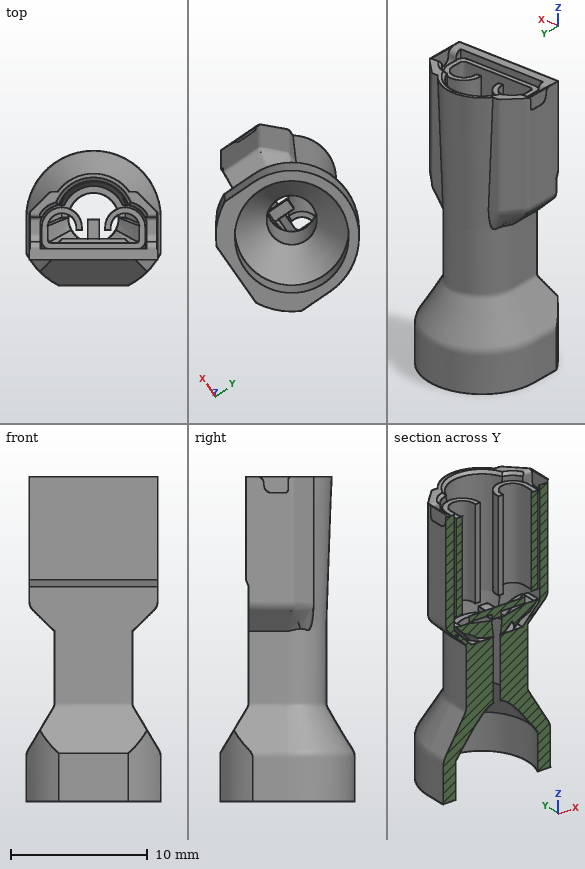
import cadquery as cq
import math


EPS = 0.02
REACH = 20.0

total_height = 23.75
base_radius = 9.86 / 2
base_corner_radius = 5.55
neck_radius = 2.85
base_top_z = 3.53
taper_top_z = 7.02
base_blend_radius = 1.1
neck_blend_radius = 0.75

head_half_width = 4.7
head_bottom_z = 12.45
head_flare_top_z = 14.25
head_flare_blend = 0.9
head_top_radius = 3.25
head_shoulder_y = 1.92
head_shoulder_half_width = 3.16
head_side_top_y = 0.38
head_corner_radius = 0.4
neck_shoulder = (2.4, 1.5)
neck_shoulder_inner = (1.9, 1.9)
plate_front_y = -3.05
plate_step_low_z = 15.71
plate_step_high_z = 16.22

barrel_outer_radius = 4.67 / 2
barrel_inner_radius = 3.66 / 2
barrel_top_z = 12.35
sheet = 0.43
roll_radius = 1.47
roll_x = 2.31
roll_y = -0.67
roll_end_y = -0.86
terminal_top_z = total_height - 0.6
roll_bottom_z = 15.0
floor_outer_y = -2.24
floor_inner_y = floor_outer_y + sheet
floor_corner_radius = 0.55
terminal_half_width = roll_x + roll_radius
funnel_top_z = 14.2
funnel_edge_top_y = -0.57
funnel_edge_low_y = 0.04
ramp_top_y = -1.5
ramp_half_width = 2.25
ramp_base_half_width = 2.6
ramp_length = 0.6
stop_width = 0.86
stop_top_y = -0.1

base_bore_radius = 8.33 / 2
base_bore_depth = 3.2
bore_taper_top_z = 6.9
cavity_half_width = 3.9
cavity_bottom_z = barrel_top_z
cavity_flare_top_z = 14.0
back_cavity_top_radius = 2.72
back_cavity_low_radius = 2.57
roll_cavity_radius = 1.62
mouth_chamfer = 0.25
side_lip = 0.06
notch_depth = 1.2
notch_back_y = 0.05
notch_back_round = 0.26
notch_front_hollow = 0.59
notch_front_round = 0.52


def box(x0, x1, y0, y1, z0, z1):
    return cq.Workplane("XY").box(x1 - x0, y1 - y0, z1 - z0, centered=False).translate((x0, y0, z0))


def along_x(yz_points, half_width):
    """Prism with a YZ outline, centred on X."""
    return cq.Workplane("YZ").polyline(yz_points).close().extrude(half_width, both=True)


def cone(bottom_radius, top_radius, z0, z1):
    """Cone or cylinder about the Z axis."""
    outline = [(0, z0), (bottom_radius, z0), (top_radius, z1), (0, z1)]
    return cq.Workplane("XZ").polyline(outline).close().revolve(360, (0, 0, 0), (0, 1, 0))


def blend_points(corner, before, after, radius):
    """Start, middle and end of an arc of the given radius that rounds a corner."""
    ux, uz = [(b - c) / math.dist(before, corner) for b, c in zip(before, corner)]
    vx, vz = [(a - c) / math.dist(after, corner) for a, c in zip(after, corner)]
    half_angle = math.acos(ux * vx + uz * vz) / 2
    setback = radius / math.tan(half_angle)
    middle = radius / math.sin(half_angle) - radius
    bx, bz = ux + vx, uz + vz
    length = math.hypot(bx, bz)
    return (
        (corner[0] + ux * setback, corner[1] + uz * setback),
        (corner[0] + bx / length * middle, corner[1] + bz / length * middle),
        (corner[0] + vx * setback, corner[1] + vz * setback),
    )


def flank_face(plane, sharp_base):
    """Half outline of base, taper and neck, from the Z axis out to the flank."""
    bottom = (base_radius, 0)
    base_corner = (base_radius, base_top_z)
    neck_corner = (neck_radius, taper_top_z)
    top = (neck_radius, head_bottom_z)
    neck_arc = blend_points(neck_corner, base_corner, top, neck_blend_radius)
    face = cq.Workplane(plane).moveTo(0, 0).lineTo(*bottom)
    if sharp_base:
        face = face.lineTo(*base_corner)
    else:
        base_arc = blend_points(base_corner, bottom, neck_corner, base_blend_radius)
        face = face.lineTo(*base_arc[0]).threePointArc(*base_arc[1:])
    face = face.lineTo(*neck_arc[0]).threePointArc(*neck_arc[1:])
    return face.lineTo(*top).lineTo(0, head_bottom_z).close()


def make_base_and_neck():
    """Rounded back, flat sides and flat front, with the base corners rounded off."""
    back = flank_face("XZ", False).revolve(360, (0, 0, 0), (0, 1, 0))
    back = back.intersect(box(-REACH, REACH, -EPS, REACH, 0, total_height))
    right_side = flank_face("XZ", False).extrude(REACH)
    sides = right_side.union(right_side.mirror("YZ"))
    front = flank_face("YZ", True).extrude(REACH, both=True).mirror("XZ")
    trim = cq.Workplane("XY").circle(base_corner_radius).extrude(head_bottom_z)
    return back.union(sides.intersect(front).intersect(trim))


def head_outline(z, half_width, side_top_y, shoulder, shoulder_inner):
    """Closed head outline at height z with its four rear corners rounded."""
    right = [
        (half_width, -neck_radius),
        (half_width, side_top_y),
        shoulder,
        shoulder_inner,
    ]
    left = [(-x, y) for x, y in reversed(right)]
    wire = cq.Wire.makePolygon([cq.Vector(x, y, z) for x, y in right + left], close=True)
    rear = [v for v in wire.Vertices() if v.Y > -EPS and abs(v.X) > shoulder_inner[0] + EPS]
    return wire.fillet2D(head_corner_radius, rear)


def make_head():
    """Flat-sided head flaring out of the neck, with a conical back and a raised front plate."""
    wide = (
        head_half_width,
        head_side_top_y,
        (head_shoulder_half_width, head_shoulder_y),
        (neck_shoulder_inner[0], head_shoulder_y),
    )
    low = head_outline(head_bottom_z - EPS, neck_radius, 0, neck_shoulder, neck_shoulder_inner)
    middle = head_outline(head_flare_top_z, *wide)
    flare = cq.Workplane(cq.Solid.makeLoft([low, middle], True))
    rise = cq.Vector(0, 0, total_height - head_flare_top_z)
    upper = cq.Workplane(cq.Solid.extrudeLinear(middle, [], rise))
    body = flare.union(upper)
    seam = cq.selectors.BoxSelector(
        (-REACH, -REACH, head_flare_top_z - EPS), (REACH, head_side_top_y, head_flare_top_z + EPS), True
    )
    back = cone(neck_radius, head_top_radius, head_bottom_z - EPS, total_height)
    back = back.intersect(box(-REACH, REACH, -EPS, REACH, 0, total_height))
    plate = along_x(
        [
            (-neck_radius + EPS, plate_step_low_z),
            (-neck_radius, plate_step_low_z),
            (plate_front_y, plate_step_high_z),
            (plate_front_y, total_height),
            (-neck_radius + EPS, total_height),
        ],
        head_half_width,
    )
    head = body.union(back).union(plate)
    return head.edges(seam).edges("|Y").fillet(head_flare_blend)


def make_head_cavity():
    """Room for the terminal, with a chamfered mouth along its rounded back."""
    rim_z = total_height - mouth_chamfer
    cavity = cone(barrel_outer_radius, back_cavity_low_radius, cavity_bottom_z, cavity_flare_top_z)
    cavity = cavity.union(
        cone(back_cavity_low_radius, back_cavity_top_radius, cavity_flare_top_z, total_height)
    )
    cavity = cavity.union(
        cone(back_cavity_top_radius, back_cavity_top_radius + mouth_chamfer, rim_z, total_height)
    )
    roll_room = cone(roll_cavity_radius, roll_cavity_radius, cavity_bottom_z, total_height)
    roll_room = roll_room.union(
        cone(roll_cavity_radius, roll_cavity_radius + mouth_chamfer, rim_z, total_height)
    )
    for side in (-1, 1):
        cavity = cavity.union(roll_room.translate((side * roll_x, roll_y, 0)))
    cavity = cavity.union(
        box(-cavity_half_width, cavity_half_width, floor_outer_y, roll_y, cavity_bottom_z, total_height)
    )
    right = [
        (barrel_outer_radius, cavity_bottom_z),
        (cavity_half_width, cavity_flare_top_z),
        (cavity_half_width, rim_z),
        (cavity_half_width + mouth_chamfer, total_height),
    ]
    left = [(-x, z) for x, z in reversed(right)]
    limit = cq.Workplane("XZ").polyline(right + left).close().extrude(REACH, both=True)
    room = box(-REACH, REACH, floor_outer_y, REACH, 0, total_height)
    return cavity.intersect(limit).intersect(room)


def make_side_notches():
    """Notches in the top of both side walls that leave only a thin outer lip."""
    floor_z = total_height - notch_depth
    front_wall_y = floor_outer_y + notch_front_round
    notch = (
        cq.Workplane("YZ").moveTo(floor_outer_y, total_height)
        .radiusArc((front_wall_y, total_height - notch_front_round), notch_front_round)
        .lineTo(front_wall_y, floor_z + notch_front_hollow)
        .radiusArc((front_wall_y + notch_front_hollow, floor_z), -notch_front_hollow)
        .lineTo(notch_back_y - notch_back_round, floor_z)
        .radiusArc((notch_back_y, floor_z + notch_back_round), -notch_back_round)
        .lineTo(notch_back_y, total_height - notch_back_round)
        .radiusArc((notch_back_y + notch_back_round, total_height), notch_back_round)
        .close().extrude(head_half_width - side_lip, both=True)
    )
    core = box(-roll_x, roll_x, -REACH, REACH, 0, total_height)
    return notch.cut(core)


def make_wire_bore():
    """Wide wire entry in the base, narrowing to the bore of the barrel."""
    entry = cone(base_bore_radius, base_bore_radius, 0, base_bore_depth)
    taper = cone(base_bore_radius, barrel_inner_radius, base_bore_depth, bore_taper_top_z)
    bore = cone(barrel_inner_radius, barrel_inner_radius, bore_taper_top_z, cavity_bottom_z)
    return entry.union(taper).union(bore)


def make_contact():
    """Flat floor with both edges rolled back over it."""
    length = terminal_top_z - roll_bottom_z
    plane = cq.Workplane("XY").workplane(offset=roll_bottom_z)
    inner_radius = roll_radius - sheet
    tray = box(
        -terminal_half_width, terminal_half_width, floor_outer_y, roll_y, roll_bottom_z, terminal_top_z
    )
    tray = tray.edges("|Z and <Y").fillet(floor_corner_radius)
    inside_half_width = terminal_half_width - sheet
    inside = box(
        -inside_half_width, inside_half_width, floor_inner_y, roll_y, roll_bottom_z, terminal_top_z
    )
    inside = inside.edges("|Z and <Y").fillet(floor_corner_radius - sheet / 2)
    contact = tray.cut(inside)
    for side in (-1, 1):
        roll = plane.center(side * roll_x, roll_y).circle(roll_radius).circle(inner_radius).extrude(length)
        roll = roll.intersect(box(-REACH, REACH, roll_y, REACH, 0, total_height))
        tip_x = side * (roll_x - roll_radius + sheet / 2)
        tip = box(
            tip_x - sheet / 2, tip_x + sheet / 2, roll_end_y, roll_y, roll_bottom_z, terminal_top_z
        )
        contact = contact.union(roll).union(tip)
    return contact


def funnel_loft(half_width, floor_y, barrel_radius):
    """Solid running from a rectangular section at the contact to a circle at the barrel."""
    depth = -2 * floor_y
    return (
        cq.Workplane("XY").workplane(offset=barrel_top_z - EPS).circle(barrel_radius)
        .workplane(offset=funnel_top_z - barrel_top_z + EPS).rect(2 * half_width, depth)
        .loft(ruled=True)
    )


def make_funnel():
    """Open trough that carries the contact sheet down to the barrel."""
    outer = funnel_loft(terminal_half_width, floor_outer_y, barrel_outer_radius)
    inner = funnel_loft(terminal_half_width - sheet, floor_inner_y, barrel_inner_radius)
    keep = along_x(
        [
            (-REACH, barrel_top_z - EPS),
            (funnel_edge_low_y, barrel_top_z - EPS),
            (funnel_edge_top_y, funnel_top_z),
            (-REACH, funnel_top_z),
        ],
        REACH,
    )
    bridge = box(
        -terminal_half_width + sheet, terminal_half_width - sheet,
        floor_outer_y, floor_inner_y, funnel_top_z - EPS, roll_bottom_z + EPS,
    )
    return outer.cut(inner).intersect(keep).union(bridge)


def make_blade_stop():
    """Raised ramp across the floor and an upright tab that stops the blade."""
    ramp = (
        cq.Workplane("XY").workplane(offset=funnel_top_z)
        .polyline(
            [
                (-ramp_base_half_width, floor_inner_y - EPS),
                (ramp_base_half_width, floor_inner_y - EPS),
                (ramp_half_width, ramp_top_y),
                (-ramp_half_width, ramp_top_y),
            ]
        )
        .close().extrude(ramp_length)
    )
    slope = along_x(
        [
            (floor_inner_y - EPS, funnel_top_z),
            (ramp_top_y, funnel_top_z),
            (floor_inner_y - EPS, funnel_top_z + ramp_length),
        ],
        REACH,
    )
    tab = box(
        -stop_width / 2, stop_width / 2, floor_inner_y - EPS, stop_top_y,
        funnel_top_z - sheet, funnel_top_z,
    )
    return ramp.intersect(slope).union(tab)


sleeve = make_base_and_neck().union(make_head())
sleeve = sleeve.cut(make_head_cavity()).cut(make_side_notches()).cut(make_wire_bore())
terminal = make_contact().translate((0, -EPS, 0)).union(make_funnel()).union(make_blade_stop())
result = sleeve.union(terminal)